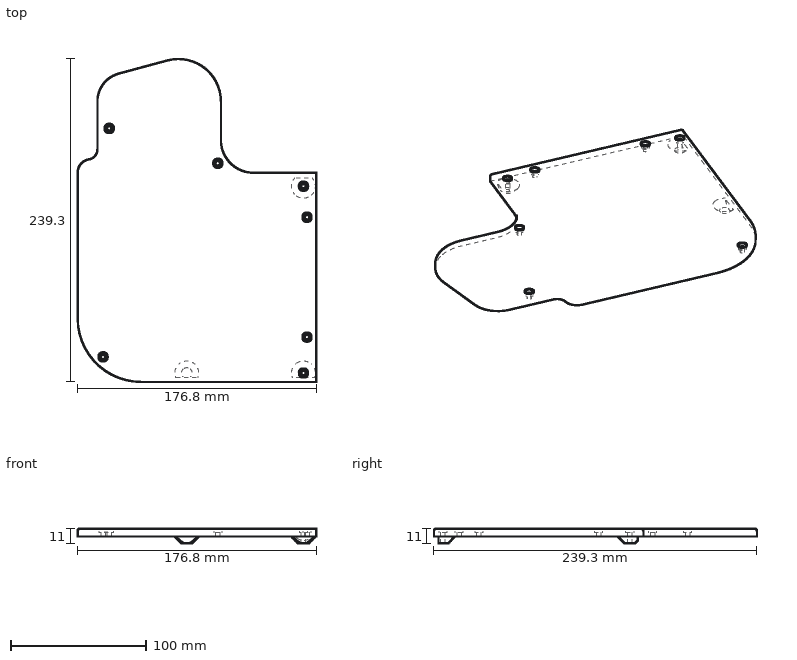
import cadquery as cq
import math

width = 176.8
length = 239.3
plate_thickness = 6.0
boss_height = 5.0
edge_round = 2.0

body_top = 155.0
body_corner_radius = 47.1
head_left = 14.5
head_right = 106.2
head_left_radius = 21.5
head_right_radius = 31.5
inner_corner_radius = 24.0
shoulder_outer_radius = 10.0
shoulder_inner_radius = 7.2

hole_diameter = 3.3
counterbore_diameter = 6.0
counterbore_depth = 3.0
counterbore_bevel = 0.5
corner_hole_x = 167.3
corner_hole_low = (corner_hole_x, 6.7)
corner_hole_high = (corner_hole_x, 145.0)
hole_centres = [
    corner_hole_low,
    corner_hole_high,
    (170.0, 33.3),
    (170.0, 122.0),
    (103.8, 162.0),
    (23.5, 187.8),
    (19.0, 18.7),
]

boss_top_diameter = 17.7
boss_bottom_diameter = 8.0
lower_rim_clearance = 3.3
upper_rim_clearance = 4.0
boss_centres = [corner_hole_low, corner_hole_high, (80.9, 6.7)]


def polar(centre, radius, degrees):
    """Point at an angle on a circle."""
    angle = math.radians(degrees)
    return (centre[0] + radius * math.cos(angle), centre[1] + radius * math.sin(angle))


def make_outline():
    """Plate outline, drawn anticlockwise from the lower right corner."""
    head_centre_y = length - head_right_radius
    right_centre = (head_right - head_right_radius, head_centre_y)
    left_centre = (head_left + head_left_radius, head_centre_y)
    slope_sine = (head_right_radius - head_left_radius) / (right_centre[0] - left_centre[0])
    tangent_angle = 90 + math.degrees(math.asin(slope_sine))

    inner_centre = (head_right + inner_corner_radius, body_top + inner_corner_radius)

    lower_centre = (shoulder_outer_radius, body_top)
    upper_centre_x = head_left - shoulder_inner_radius
    centre_distance = shoulder_outer_radius + shoulder_inner_radius
    centre_run = lower_centre[0] - upper_centre_x
    shoulder_rise = math.sqrt(centre_distance**2 - centre_run**2)
    upper_centre = (upper_centre_x, body_top + shoulder_rise)
    meeting_angle = math.degrees(math.atan2(shoulder_rise, -centre_run))
    meeting_point = polar(lower_centre, shoulder_outer_radius, meeting_angle)

    corner_centre = (body_corner_radius, body_corner_radius)

    return (
        cq.Workplane("XY")
        .moveTo(width, 0)
        .lineTo(width, body_top)
        .lineTo(inner_centre[0], body_top)
        .threePointArc(polar(inner_centre, inner_corner_radius, 225), (head_right, inner_centre[1]))
        .lineTo(head_right, head_centre_y)
        .threePointArc(
            polar(right_centre, head_right_radius, tangent_angle / 2),
            polar(right_centre, head_right_radius, tangent_angle),
        )
        .lineTo(*polar(left_centre, head_left_radius, tangent_angle))
        .threePointArc(
            polar(left_centre, head_left_radius, (tangent_angle + 180) / 2),
            (head_left, head_centre_y),
        )
        .lineTo(head_left, upper_centre[1])
        .threePointArc(polar(upper_centre, shoulder_inner_radius, (meeting_angle - 180) / 2), meeting_point)
        .threePointArc(polar(lower_centre, shoulder_outer_radius, (meeting_angle + 180) / 2), (0, body_top))
        .lineTo(0, body_corner_radius)
        .threePointArc(polar(corner_centre, body_corner_radius, 225), (body_corner_radius, 0))
        .close()
    )


def make_plate():
    """Flat plate, rounded around its top edge except along the straight right side."""
    plate = make_outline().extrude(plate_thickness)
    top_edges = plate.faces(">Z").edges()
    right_edge = top_edges.edges(">X")
    return top_edges.filter(lambda edge: not edge.isSame(right_edge.val())).fillet(edge_round)


def make_bosses():
    """Cones tapering downward, kept inside the body's trimmed rim."""
    trim_depth = body_top - lower_rim_clearance - upper_rim_clearance
    trim = (
        cq.Workplane("XY")
        .box(width, trim_depth, boss_height, centered=False)
        .translate((0, lower_rim_clearance, -boss_height))
    )
    cones = cq.Workplane("XY")
    for centre in boss_centres:
        cone = cq.Solid.makeCone(
            boss_top_diameter / 2, boss_bottom_diameter / 2, boss_height,
            pnt=cq.Vector(*centre, 0), dir=cq.Vector(0, 0, -1),
        )
        cones = cones.add(cone)
    return cones.combine().intersect(trim)


def make_hole_cutter():
    """Solid of revolution for one hole: through bore, counterbore and bevelled mouth."""
    bore_radius = hole_diameter / 2
    counterbore_radius = counterbore_diameter / 2
    counterbore_floor = plate_thickness - counterbore_depth
    return (
        cq.Workplane("XZ")
        .moveTo(0, -boss_height)
        .lineTo(bore_radius, -boss_height)
        .lineTo(bore_radius, counterbore_floor)
        .lineTo(counterbore_radius, counterbore_floor)
        .lineTo(counterbore_radius, plate_thickness - counterbore_bevel)
        .lineTo(counterbore_radius + counterbore_bevel, plate_thickness)
        .lineTo(0, plate_thickness)
        .close()
        .revolve(360, (0, 0, 0), (0, 1, 0))
    )


def drill_holes(part):
    """Cut every screw hole through the plate and any boss below it."""
    cutter = make_hole_cutter()
    for x, y in hole_centres:
        part = part.cut(cutter.translate((x, y, 0)))
    return part


result = drill_holes(make_plate().union(make_bosses()))